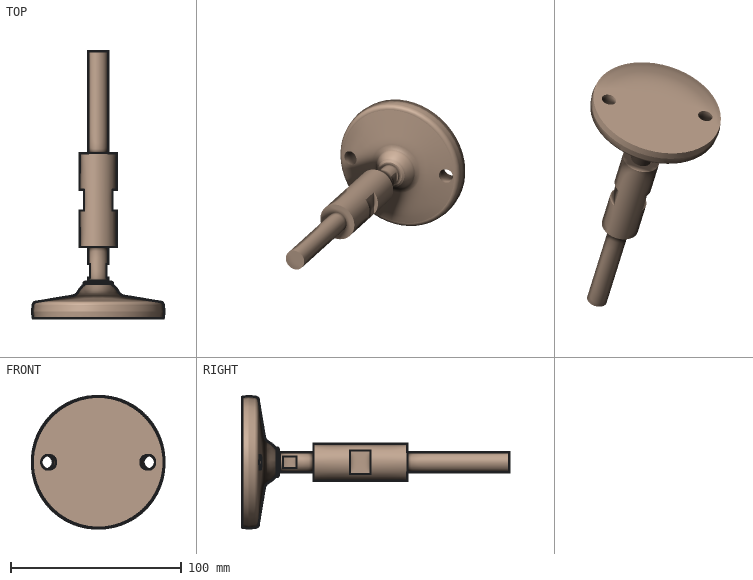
import cadquery as cq
import math

TOTAL_LENGTH = 157.0

STUD_DIAMETER = 12.0
STUD_FLAT_WIDTH = 9.9
STUD_FLAT_START = 23.9
STUD_FLAT_LENGTH = 8.0
STUD_CHAMFER = 0.6

SLEEVE_DIAMETER = 22.0
SLEEVE_START = 41.9
SLEEVE_LENGTH = 55.1
SLEEVE_FLAT_WIDTH = 17.0
SLEEVE_FLAT_LENGTH = 12.0

FOOT_RADIUS = 78.0 / 2
BASE_RADIUS = 38.5
RIM_HEIGHT = 4.0
SHOULDER_RADIUS = 38.6
SHOULDER_HEIGHT = 7.2
SHOULDER_ARC_RADIUS = 37.8
SHOULDER_ARC_HEIGHT = 9.1
CONE_OUTER_RADIUS = 35.8
CONE_OUTER_HEIGHT = 9.9
CONE_INNER_RADIUS = 15.0
CONE_INNER_HEIGHT = 13.3
FILLET_MIDDLE_RADIUS = 13.7
FILLET_MIDDLE_HEIGHT = 13.8
DOME_BASE_RADIUS = 12.4
DOME_BASE_HEIGHT = 14.8
DOME_MIDDLE_RADIUS = 10.5
DOME_MIDDLE_HEIGHT = 17.7
DOME_TOP_RADIUS = 8.0
DOME_TOP_HEIGHT = 20.1
LIP_RADIUS = 8.6
LIP_HEIGHT = 20.9
COLLAR_RADIUS = 7.4
COLLAR_HEIGHT = 21.7

HOLE_DIAMETER = 8.5
HOLE_OFFSET = 29.0
HOLE_REACH = 31.4


def cylinder(diameter, start, length):
    """Cylinder on the Y axis that starts at the given height."""
    return cq.Workplane("XZ", origin=(0, start, 0)).circle(diameter / 2).extrude(-length)


def cut_two_flats(body, diameter, flat_width, start, length):
    """Mill a pair of flats facing -X and +X."""
    depth = (diameter - flat_width) / 2
    for side in (-1, 1):
        center_x = side * (flat_width + depth) / 2
        cutter = cq.Workplane("XY").box(depth, length, diameter)
        body = body.cut(cutter.translate((center_x, start + length / 2, 0)))
    return body


def make_stud():
    body = cylinder(STUD_DIAMETER, COLLAR_HEIGHT, TOTAL_LENGTH - COLLAR_HEIGHT)
    body = body.faces("<Y").chamfer(STUD_CHAMFER)
    return cut_two_flats(body, STUD_DIAMETER, STUD_FLAT_WIDTH, STUD_FLAT_START, STUD_FLAT_LENGTH)


def make_sleeve():
    body = cylinder(SLEEVE_DIAMETER, SLEEVE_START, SLEEVE_LENGTH)
    body = body.cut(cylinder(STUD_DIAMETER, SLEEVE_START, SLEEVE_LENGTH))
    flat_start = SLEEVE_START + (SLEEVE_LENGTH - SLEEVE_FLAT_LENGTH) / 2
    return cut_two_flats(body, SLEEVE_DIAMETER, SLEEVE_FLAT_WIDTH, flat_start, SLEEVE_FLAT_LENGTH)


def make_foot_blank():
    outline = (
        cq.Workplane("XY")
        .lineTo(BASE_RADIUS, 0)
        .lineTo(FOOT_RADIUS, RIM_HEIGHT)
        .lineTo(SHOULDER_RADIUS, SHOULDER_HEIGHT)
        .threePointArc((SHOULDER_ARC_RADIUS, SHOULDER_ARC_HEIGHT), (CONE_OUTER_RADIUS, CONE_OUTER_HEIGHT))
        .lineTo(CONE_INNER_RADIUS, CONE_INNER_HEIGHT)
        .threePointArc((FILLET_MIDDLE_RADIUS, FILLET_MIDDLE_HEIGHT), (DOME_BASE_RADIUS, DOME_BASE_HEIGHT))
        .threePointArc((DOME_MIDDLE_RADIUS, DOME_MIDDLE_HEIGHT), (DOME_TOP_RADIUS, DOME_TOP_HEIGHT))
        .lineTo(LIP_RADIUS, LIP_HEIGHT)
        .lineTo(COLLAR_RADIUS, COLLAR_HEIGHT)
        .lineTo(0, COLLAR_HEIGHT)
        .close()
    )
    return outline.revolve(360, (0, 0, 0), (0, 1, 0))


def make_foot():
    foot = make_foot_blank()
    cone_slope = math.atan2(CONE_INNER_HEIGHT - CONE_OUTER_HEIGHT, CONE_OUTER_RADIUS - CONE_INNER_RADIUS)
    for side in (-1, 1):
        axis = cq.Vector(side * math.sin(cone_slope), math.cos(cone_slope), 0)
        center = cq.Vector(side * HOLE_OFFSET, 0, 0)
        start = center - axis * (HOLE_REACH / 2)
        foot = foot.cut(cq.Workplane(cq.Solid.makeCylinder(HOLE_DIAMETER / 2, HOLE_REACH, start, axis)))
    return foot


stud = make_stud()
sleeve = make_sleeve()
foot = make_foot()

result = cq.Compound.makeCompound([stud.val(), sleeve.val(), foot.val()])